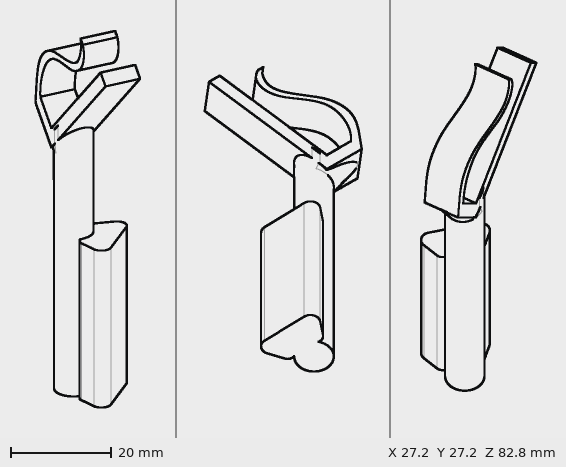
import cadquery as cq
import math

post_radius = 4.0
post_bend_height = 52.9
branch_angle = 31.0
branch_length = 18.2

strip_width = 7.8
strip_thickness = 3.1
vee_offset = -2.15
vee_height = 53.2
arm_run = 21.5
leg_run = 7.0
clip_top = 82.8
clip_tip_offset = 10.6
clip_tip_drop = 1.0
seat_depth = 1.1

fin_height = 34.8
fin_back = 9.4
fin_half_width = 7.0
fin_corner_radius = 2.0
fin_slope = 30.0
flank_inner_x = 3.2
root_x = 2.5

vee_vertical = strip_thickness * math.sqrt(2)
vee_inner_height = vee_height + vee_vertical
half_vee = vee_vertical / 2


hook_plane = cq.Plane(origin=(0, 0, 0), xDir=(1, -1, 0), normal=(-1, -1, 0))


def make_hook():
    leg_end = (vee_offset - leg_run, vee_height + leg_run)
    leg_inner_run = leg_run - half_vee
    leg_inner_end = (vee_offset - leg_inner_run, vee_inner_height + leg_inner_run)
    arm_inner_end = (vee_offset + arm_run, vee_inner_height + arm_run)
    arm_outer_end = (arm_inner_end[0] + half_vee, arm_inner_end[1] - half_vee)
    tip_outer = (clip_tip_offset, clip_top)
    tip_inner = (clip_tip_offset + clip_tip_drop, clip_top - clip_tip_drop)
    outer_curve = [(-8.45, 66.7), (-7.0, 70.9), (-3.65, 74.0), (0.7, 75.1), (5.8, 75.6), (9.1, 77.0),
                   (10.4, 79.2), tip_outer]
    inner_curve = [(12.1, 79.75), (11.1, 76.7), (7.6, 74.4), (2.0, 73.9), (-2.3, 72.7), (-5.5, 69.15),
                   leg_inner_end]
    profile = (
        cq.Workplane(hook_plane)
        .moveTo(vee_offset, vee_height)
        .lineTo(*leg_end)
        .spline(outer_curve, includeCurrent=True)
        .lineTo(*tip_inner)
        .spline(inner_curve, includeCurrent=True)
        .lineTo(vee_offset, vee_inner_height)
        .lineTo(*arm_inner_end)
        .lineTo(*arm_outer_end)
        .close()
    )
    centering = strip_width / 2 / math.sqrt(2)
    return profile.extrude(strip_width).translate((centering, centering, 0))


def space_above_vee(height):
    """Wedge of space above two 45 degree slopes that meet at the given height."""
    reach = clip_top
    return (
        cq.Workplane(hook_plane)
        .polyline([
            (vee_offset, height),
            (vee_offset + reach, height + reach),
            (vee_offset - reach, height + reach),
        ])
        .close()
        .extrude(2 * post_radius, both=True)
    )


def make_post():
    """Upright post and leaning branch, ending inside the vee and at the underside of the leg."""
    lean = math.radians(branch_angle)
    post = cq.Workplane("XY").circle(post_radius).extrude(clip_top)
    branch_direction = cq.Vector(
        -math.sin(lean) / math.sqrt(2), math.sin(lean) / math.sqrt(2), math.cos(lean)
    )
    branch = cq.Workplane(
        cq.Solid.makeCylinder(
            post_radius, branch_length, cq.Vector(0, 0, post_bend_height), branch_direction
        )
    )
    seat_height = vee_inner_height - seat_depth
    post = post.cut(space_above_vee(seat_height))
    branch = branch.cut(space_above_vee(vee_height))
    return post.union(branch)


def make_fin():
    slope = math.radians(fin_slope)
    corner_x = fin_back - fin_corner_radius
    corner_y = fin_half_width - fin_corner_radius
    flank_outer_x = corner_x - fin_corner_radius * math.sin(slope)
    flank_outer_y = corner_y + fin_corner_radius * math.cos(slope)
    flank_inner_y = flank_outer_y - (flank_outer_x - flank_inner_x) * math.tan(slope)
    root_y = math.sqrt(post_radius**2 - root_x**2)
    half = (
        cq.Workplane("XY")
        .lineTo(fin_back, 0)
        .lineTo(fin_back, corner_y)
        .tangentArcPoint((flank_outer_x, flank_outer_y), relative=False)
        .lineTo(flank_inner_x, flank_inner_y)
        .tangentArcPoint((root_x, root_y), relative=False)
        .close()
        .extrude(fin_height)
    )
    return half.union(half.mirror("XZ"))


result = make_post().union(make_hook()).union(make_fin())